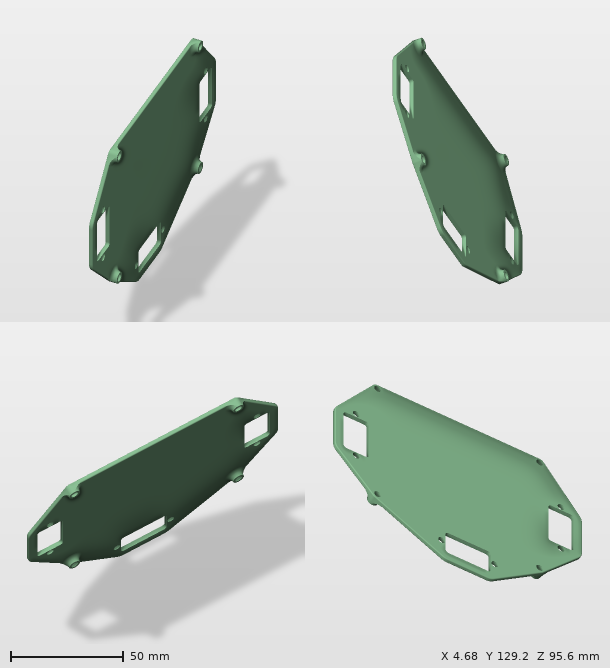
import cadquery as cq
import math

total_depth = 4.68
total_width = 129.2
total_height = 95.57

plate_thickness = 2.0
edge_round = 0.5

hole_diameter = 3.5
boss_wall = 1
mount_half_width = 42.35
mount_half_height = 35.25
boss_radius = hole_diameter / 2 + boss_wall
flare_arc_radius = 2.7

window_length = 23.6
window_width = 13.2
window_corner_radius = 1.5
screw_spacing = 27.8
rim = 4.5
side_window_y = total_width / 2 - rim - window_width / 2
side_window_z = -2
bottom_window_y = -5
bottom_window_z = mount_half_height + boss_radius - total_height + rim + window_width / 2

corner_radius = 6

mount_points = [
    (y, z)
    for y in (-mount_half_width, mount_half_width)
    for z in (-mount_half_height, mount_half_height)
]


def tangent_points(first, second):
    """Ends of the outer tangent line between two circles (y, z, radius), taken clockwise."""
    y1, z1, r1 = first
    y2, z2, r2 = second
    heading = math.atan2(z2 - z1, y2 - y1)
    spread = math.acos((r1 - r2) / math.hypot(y2 - y1, z2 - z1))
    normal = heading + spread
    start = (y1 + r1 * math.cos(normal), z1 + r1 * math.sin(normal))
    end = (y2 + r2 * math.cos(normal), z2 + r2 * math.sin(normal))
    return start, end


def corner_arc_middle(circle, arrive, leave):
    """Point half way along the arc of a circle between two points on it."""
    y, z, radius = circle
    bisector = math.atan2(arrive[1] + leave[1] - 2 * z, arrive[0] + leave[0] - 2 * y)
    return y + radius * math.cos(bisector), z + radius * math.sin(bisector)


def outline():
    """Closed loop of straight edges and tangent arcs wrapped around the corner circles."""
    inset = corner_radius - rim
    side_y = side_window_y + window_width / 2 - inset
    side_top = side_window_z + window_length / 2 - inset
    side_bottom = side_window_z - window_length / 2 + inset
    bottom_right = bottom_window_y + window_length / 2 - inset
    bottom_left = bottom_window_y - window_length / 2 + inset
    bottom_z = bottom_window_z - window_width / 2 + inset
    circles = [
        (-mount_half_width, mount_half_height, boss_radius),
        (mount_half_width, mount_half_height, boss_radius),
        (side_y, side_top, corner_radius),
        (side_y, side_bottom, corner_radius),
        (mount_half_width, -mount_half_height, boss_radius),
        (bottom_right, bottom_z, corner_radius),
        (bottom_left, bottom_z, corner_radius),
        (-mount_half_width, -mount_half_height, boss_radius),
        (-side_y, side_bottom, corner_radius),
        (-side_y, side_top, corner_radius),
    ]
    next_circles = circles[1:] + circles[:1]
    edges = [tangent_points(a, b) for a, b in zip(circles, next_circles)]

    path = cq.Workplane("YZ").moveTo(*edges[0][0])
    next_edges = edges[1:] + edges[:1]
    for (_, end), (next_start, _), circle in zip(edges, next_edges, next_circles):
        path = path.lineTo(*end)
        path = path.threePointArc(corner_arc_middle(circle, end, next_start), next_start)
    return path.close()


def plate():
    """Flat plate with both outer rims rounded."""
    return outline().extrude(plate_thickness).faces("<X or >X").edges().fillet(edge_round)


def boss(y, z):
    """Round boss that flares into the plate along a concave arc tangent to the plate."""
    flare_radius = boss_radius + flare_arc_radius
    arc_center_x = plate_thickness + flare_arc_radius

    def on_flare(angle):
        """Point on the flare arc, at an angle measured from the plate towards the boss top."""
        return (
            arc_center_x - flare_arc_radius * math.cos(angle),
            flare_radius - flare_arc_radius * math.sin(angle),
        )

    top_angle = math.acos((arc_center_x - total_depth) / flare_arc_radius)
    top_point = on_flare(top_angle)
    profile = (
        cq.Workplane("XY")
        .moveTo(edge_round, 0)
        .lineTo(edge_round, flare_radius)
        .lineTo(*on_flare(0))
        .threePointArc(on_flare(top_angle / 2), top_point)
        .lineTo(total_depth, 0)
        .close()
    )
    return profile.revolve(360, (0, 0), (1, 0)).translate((0, y, z))


def bosses():
    """All four bosses, trimmed flush with the plate outline."""
    group = cq.Workplane("YZ")
    for y, z in mount_points:
        group = group.add(boss(y, z))
    return group.combine().intersect(outline().extrude(total_depth))


def holes(points):
    """Through-hole cutters at the given points."""
    return cq.Workplane("YZ").pushPoints(points).circle(hole_diameter / 2).extrude(total_depth)


def window(y, z, length_y, length_z):
    """Through-window cutter with rounded corners."""
    return (
        cq.Workplane("YZ")
        .center(y, z)
        .rect(length_y, length_z)
        .extrude(total_depth)
        .edges("|X")
        .fillet(window_corner_radius)
    )


result = plate().union(bosses()).cut(holes(mount_points))

half_spacing = screw_spacing / 2
for y in (-side_window_y, side_window_y):
    screw_points = [(y, side_window_z + half_spacing), (y, side_window_z - half_spacing)]
    result = result.cut(window(y, side_window_z, window_width, window_length))
    result = result.cut(holes(screw_points))

bottom_screw_points = [
    (bottom_window_y - half_spacing, bottom_window_z),
    (bottom_window_y + half_spacing, bottom_window_z),
]
result = result.cut(window(bottom_window_y, bottom_window_z, window_length, window_width))
result = result.cut(holes(bottom_screw_points))